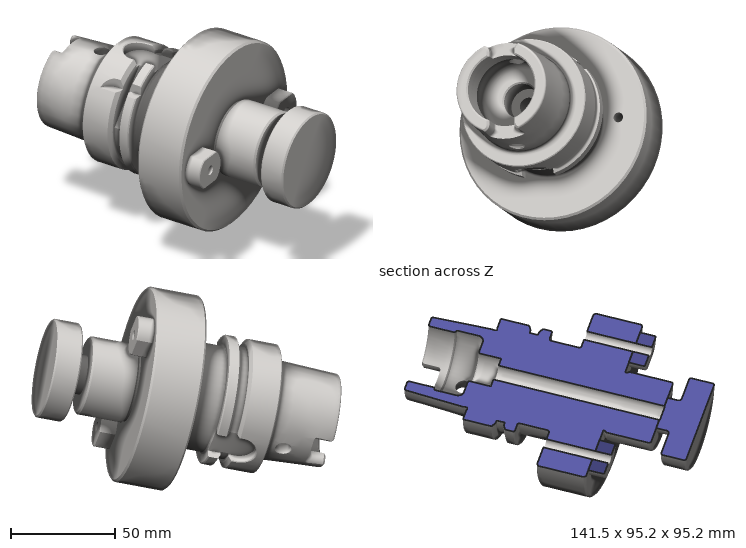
import cadquery as cq
import math


TAPER_GAUGE_X = 25.6
TAPER_GAUGE_R = 24.0
TAPER_SLOPE = 0.05
SHANK_TIP_ROUND = 1.0
UNDERCUT_X = 30.0
UNDERCUT_DEPTH = 0.21
UNDERCUT_RAMP = 0.8
UNDERCUT_CORNER_R = 0.7
FACE_RECESS_R = 25.5

FLANGE_X = 32.0
FLANGE_D = 63.0
FLANGE_END_X = 58.0
FLANGE_FRONT_CHAMFER = 0.4
FLANGE_BACK_CHAMFER = 0.5
GROOVE_D = 54.9
GROOVE_START_X = 47.8
GROOVE_END_X = 51.8
GROOVE_FLANK_LENGTH = 1.4
GROOVE_FLANK_ANGLE = 30.0

NECK_D = 51.8
NECK_FILLET = 1.0
DISC_X = 73.7
DISC_END_X = 98.5
DISC_D = 95.2
DISC_CHAMFER = 1.0
PILOT_D = 38.0
PILOT_RELIEF_D = 36.5
PILOT_RELIEF_LENGTH = 0.8
PILOT_END_X = 122.4
PILOT_CHAMFER = 0.8

BORE_D = 34.0
BORE_MOUTH_CHAMFER = 0.7
BORE_DEPTH = 27.7
BORE_FLOOR_FILLET = 2.8
CLAMP_GROOVE_X = 13.3
CLAMP_GROOVE_D = 36.8
CLAMP_FLANK_ANGLE = 60.0
TUBE_SEAT_D = 17.0
TUBE_SEAT_DEPTH = 11.3
TUBE_SEAT_CHAMFER = 0.7
COOLANT_D = 8.3

CROSS_HOLE_X = 22.8
CROSS_HOLE_D = 7.5
CROSS_HOLE_CHAMFER = 0.4

DRIVE_SLOT_WIDTH = 12.5
DRIVE_SLOT_TOP_DEPTH = 6.0
DRIVE_SLOT_BOTTOM_DEPTH = 9.8
DRIVE_SLOT_FLARE_Z = 18.0
DRIVE_SLOT_FLARE_R = 3.4
DRIVE_SLOT_CORNER_R = 1.3
DRIVE_SLOT_MOUTH_CHAMFER = 1.0

KEYWAY_WIDTH = 16.0
KEYWAY_END_X = 36.7
KEYWAY_FLOOR_Z = 26.5
KEYWAY_RIM_CHAMFER = 0.4
NOTCH_OFFSET = 19.8
NOTCH_CUTTER_R = 7.5
NOTCH_END_X = 37.1
FLAT_ANGLE = 137.5
FLAT_DISTANCE = 21.8

KEY_D = 19.0
KEY_WIDTH = 15.9
KEY_HEIGHT = 7.9
KEY_CHAMFER = 0.4
KEY_OFFSET = 33.5
KEY_HOLE_D = 4.8

SCREW_SHANK_D = 19.1
SCREW_HEAD_X = 128.8
SCREW_HEAD_D = 48.1
SCREW_FILLET = 1.4
SCREW_CHAMFER = 0.7
SCREW_END_X = 141.5


def taper_radius(x):
    return TAPER_GAUGE_R + TAPER_SLOPE * (x - TAPER_GAUGE_X)


def revolve(points):
    """Solid of revolution about X from an (x, radius) outline that is closed along the axis."""
    return cq.Workplane("XY").polyline(points).close().revolve(360, (0, 0, 0), (1, 0, 0))


def rod(diameter, start_x, end_x, y=0, z=0):
    """Cylinder along X."""
    return cq.Workplane("YZ", origin=(start_x, y, z)).circle(diameter / 2).extrude(end_x - start_x)


def shank_and_flange():
    flange_r = FLANGE_D / 2
    groove_r = GROOVE_D / 2
    flank_r = flange_r - GROOVE_FLANK_LENGTH / math.tan(math.radians(GROOVE_FLANK_ANGLE))
    shank = (
        revolve([
            (0, 0),
            (0, taper_radius(0)),
            (UNDERCUT_X, taper_radius(UNDERCUT_X)),
            (UNDERCUT_X, 0),
        ])
        .faces("<X").edges().fillet(SHANK_TIP_ROUND)
    )
    undercut_r = taper_radius(UNDERCUT_X) - UNDERCUT_DEPTH
    recess_x = FLANGE_X + UNDERCUT_DEPTH
    corner_x = recess_x - UNDERCUT_CORNER_R
    corner_r = undercut_r + UNDERCUT_CORNER_R
    bend = UNDERCUT_CORNER_R * math.sqrt(0.5)
    flange = (
        cq.Workplane("XY")
        .moveTo(UNDERCUT_X, 0)
        .lineTo(UNDERCUT_X, taper_radius(UNDERCUT_X))
        .lineTo(UNDERCUT_X + UNDERCUT_RAMP, undercut_r)
        .lineTo(corner_x, undercut_r)
        .threePointArc((corner_x + bend, corner_r - bend), (recess_x, corner_r))
        .lineTo(FLANGE_X, FACE_RECESS_R)
        .lineTo(FLANGE_X, flange_r - FLANGE_FRONT_CHAMFER)
        .lineTo(FLANGE_X + FLANGE_FRONT_CHAMFER, flange_r)
        .lineTo(GROOVE_START_X - GROOVE_FLANK_LENGTH, flange_r)
        .lineTo(GROOVE_START_X, flank_r)
        .lineTo(GROOVE_START_X, groove_r)
        .lineTo(GROOVE_END_X, groove_r)
        .lineTo(GROOVE_END_X, flank_r)
        .lineTo(GROOVE_END_X + GROOVE_FLANK_LENGTH, flange_r)
        .lineTo(FLANGE_END_X - FLANGE_BACK_CHAMFER, flange_r)
        .lineTo(FLANGE_END_X, flange_r - FLANGE_BACK_CHAMFER)
        .lineTo(FLANGE_END_X, 0)
        .close()
        .revolve(360, (0, 0, 0), (1, 0, 0))
    )
    return shank.union(flange)


def neck():
    """Neck between flange and disc, flaring out with a fillet at both ends."""
    neck_r = NECK_D / 2
    flare_r = neck_r + NECK_FILLET
    bend = NECK_FILLET * math.sqrt(0.5)
    left_center_x = FLANGE_END_X + NECK_FILLET
    right_center_x = DISC_X - NECK_FILLET
    return (
        cq.Workplane("XY")
        .moveTo(FLANGE_END_X, 0)
        .lineTo(FLANGE_END_X, flare_r)
        .threePointArc((left_center_x - bend, flare_r - bend), (left_center_x, neck_r))
        .lineTo(right_center_x, neck_r)
        .threePointArc((right_center_x + bend, flare_r - bend), (DISC_X, flare_r))
        .lineTo(DISC_X, 0)
        .close()
        .revolve(360, (0, 0, 0), (1, 0, 0))
    )


def disc_and_pilot():
    disc = rod(DISC_D, DISC_X, DISC_END_X).edges().chamfer(DISC_CHAMFER)
    pilot_r = PILOT_D / 2
    relief_r = PILOT_RELIEF_D / 2
    relief_end_x = DISC_END_X + PILOT_RELIEF_LENGTH
    pilot = revolve([
        (DISC_END_X, 0),
        (DISC_END_X, relief_r),
        (relief_end_x, relief_r),
        (relief_end_x + pilot_r - relief_r, pilot_r),
        (PILOT_END_X - PILOT_CHAMFER, pilot_r),
        (PILOT_END_X, pilot_r - PILOT_CHAMFER),
        (PILOT_END_X, 0),
    ])
    return disc.union(pilot)


def bore():
    """Stepped bore, from its chamfered mouth to the coolant hole through the pilot."""
    mouth_r = BORE_D / 2 + BORE_MOUTH_CHAMFER
    wide_r = CLAMP_GROOVE_D / 2
    flank = (wide_r - BORE_D / 2) / math.tan(math.radians(CLAMP_FLANK_ANGLE))
    main = rod(BORE_D, 0, CLAMP_GROOVE_X)
    clamp_groove = (
        revolve([
            (CLAMP_GROOVE_X, 0),
            (CLAMP_GROOVE_X, BORE_D / 2),
            (CLAMP_GROOVE_X + flank, wide_r),
            (BORE_DEPTH, wide_r),
            (BORE_DEPTH, 0),
        ])
        .faces(">X").edges().fillet(BORE_FLOOR_FILLET)
    )
    mouth = revolve([(0, 0), (0, mouth_r), (mouth_r, 0)])
    seat_mouth_r = TUBE_SEAT_D / 2 + TUBE_SEAT_CHAMFER
    seat = rod(TUBE_SEAT_D, BORE_DEPTH, BORE_DEPTH + TUBE_SEAT_DEPTH)
    seat_mouth = revolve([(BORE_DEPTH, 0), (BORE_DEPTH, seat_mouth_r), (BORE_DEPTH + seat_mouth_r, 0)])
    coolant = rod(COOLANT_D, BORE_DEPTH, PILOT_END_X)
    return main.union(clamp_groove).union(mouth).union(seat).union(seat_mouth).union(coolant)


def cross_hole():
    """Hole along Z through both shank walls."""
    depth = 2 * TAPER_GAUGE_R
    plane = cq.Workplane("XY", origin=(CROSS_HOLE_X, 0, -TAPER_GAUGE_R))
    return plane.circle(CROSS_HOLE_D / 2).extrude(depth)


def cross_hole_chamfers():
    """Cones that widen both outer ends of the cross hole."""
    mouth_r = CROSS_HOLE_D / 2 + CROSS_HOLE_CHAMFER
    half_height = taper_radius(CROSS_HOLE_X)
    outline = [(0, half_height - mouth_r), (mouth_r, half_height), (mouth_r, half_height + 1.4), (0, half_height + 1.4)]
    upper = (
        cq.Workplane("XZ", origin=(CROSS_HOLE_X, 0, 0))
        .polyline(outline)
        .close()
        .revolve(360, (0, 0, 0), (0, 1, 0))
    )
    return upper, upper.rotate((0, 0, 0), (1, 0, 0), 180)


def drive_slot_outline(x):
    """Cross-section at x of the slot in the +Z wall of the shank end; its sides flare outwards."""
    half = DRIVE_SLOT_WIDTH / 2
    flared = half + DRIVE_SLOT_FLARE_R
    flare_top = DRIVE_SLOT_FLARE_Z + DRIVE_SLOT_FLARE_R
    bend = DRIVE_SLOT_FLARE_R * math.sqrt(0.5)
    clear_z = TAPER_GAUGE_R + 1.4
    return (
        cq.Workplane("YZ", origin=(x, 0, 0))
        .moveTo(-half, 0)
        .lineTo(half, 0)
        .lineTo(half, DRIVE_SLOT_FLARE_Z)
        .threePointArc((flared - bend, DRIVE_SLOT_FLARE_Z + bend), (flared, flare_top))
        .lineTo(flared, clear_z)
        .lineTo(-flared, clear_z)
        .lineTo(-flared, flare_top)
        .threePointArc((bend - flared, DRIVE_SLOT_FLARE_Z + bend), (-half, DRIVE_SLOT_FLARE_Z))
        .close()
    )


def drive_slot(depth):
    """Cutter for one drive slot, with rounded floor corners and a chamfered mouth."""
    slot = drive_slot_outline(0).extrude(depth).faces(">X").edges("not |Y").fillet(DRIVE_SLOT_CORNER_R)
    mouth = drive_slot_outline(DRIVE_SLOT_MOUTH_CHAMFER).extrude(-DRIVE_SLOT_MOUTH_CHAMFER, taper=-45)
    return slot.union(mouth)


def keyway():
    """Cutter for the round-ended keyway on the +Z side of the flange."""
    radius = KEYWAY_WIDTH / 2
    center_x = KEYWAY_END_X + radius
    height = FLANGE_D / 2
    plane = cq.Workplane("XY", origin=(0, 0, KEYWAY_FLOOR_Z))
    end = plane.center(center_x, 0).circle(radius).extrude(height)
    length = FLANGE_END_X - center_x
    return end.union(plane.center(center_x + length / 2, 0).rect(length, KEYWAY_WIDTH).extrude(height))


def chamfer_keyway_ends(holder):
    """Chamfer the rim of both keyways on the flange, from the round end up to the groove flank."""
    start_x = KEYWAY_END_X - 1.4
    length = GROOVE_START_X - GROOVE_FLANK_LENGTH + 0.1 - start_x
    rim_bottom_z = KEYWAY_FLOOR_Z + 1.4
    half_width = KEYWAY_WIDTH / 2 + 0.1
    for low_z, high_z in ((rim_bottom_z, FLANGE_D), (-FLANGE_D, -rim_bottom_z)):
        rim = cq.selectors.BoxSelector(
            (start_x, -half_width, low_z),
            (start_x + length, half_width, high_z),
            boundingbox=True,
        )
        holder = holder.edges(rim).chamfer(KEYWAY_RIM_CHAMFER)
    return holder


def notch():
    """Cutter for the corner notch between -Y and +Z; a round cutter ends it at the shank side."""
    center_x = NOTCH_END_X + NOTCH_CUTTER_R
    center_y = -NOTCH_OFFSET - NOTCH_CUTTER_R
    length = FLANGE_END_X - center_x
    height = FLANGE_D / 2
    plane = cq.Workplane("XY", origin=(0, 0, NOTCH_OFFSET))
    end = plane.center(center_x, center_y).circle(NOTCH_CUTTER_R).extrude(height)
    run = plane.center(center_x + length / 2, center_y).rect(length, 2 * NOTCH_CUTTER_R).extrude(height)
    return end.union(run)


def groove_flat():
    """Cutter for the flat on the groove bottom."""
    width = GROOVE_END_X - GROOVE_START_X
    return (
        cq.Workplane("XY")
        .box(width, FLANGE_D, FLANGE_D)
        .translate(((GROOVE_START_X + GROOVE_END_X) / 2, FLAT_DISTANCE + FLANGE_D / 2, 0))
        .rotate((0, 0, 0), (1, 0, 0), FLAT_ANGLE)
    )


def make_holder():
    holder = shank_and_flange().union(neck()).union(disc_and_pilot())
    holder = holder.cut(keyway()).cut(keyway().rotate((0, 0, 0), (1, 0, 0), 180))
    holder = chamfer_keyway_ends(holder)
    holder = holder.cut(notch()).cut(groove_flat())
    holder = holder.cut(bore()).cut(cross_hole())
    for chamfer in cross_hole_chamfers():
        holder = holder.cut(chamfer)
    holder = holder.cut(drive_slot(DRIVE_SLOT_TOP_DEPTH))
    holder = holder.cut(drive_slot(DRIVE_SLOT_BOTTOM_DEPTH).rotate((0, 0, 0), (1, 0, 0), 180))
    for side in (1, -1):
        holder = holder.cut(rod(KEY_HOLE_D, DISC_X, DISC_END_X, side * KEY_OFFSET))
    return holder


def make_key(y):
    """Round drive key with two flats, seated on the disc face and drilled through."""
    body = rod(KEY_D, DISC_END_X, DISC_END_X + KEY_HEIGHT, y)
    flats = (
        cq.Workplane("YZ", origin=(DISC_END_X, y, 0))
        .rect(KEY_D, KEY_WIDTH)
        .extrude(KEY_HEIGHT)
    )
    key = body.intersect(flats).faces(">X").edges().chamfer(KEY_CHAMFER)
    return key.cut(rod(KEY_HOLE_D, DISC_END_X, DISC_END_X + KEY_HEIGHT, y))


def make_screw():
    """Clamping screw: a shank on the pilot face and a wide flat head."""
    head = rod(SCREW_HEAD_D, SCREW_HEAD_X, SCREW_END_X).edges().chamfer(SCREW_CHAMFER)
    shank_r = SCREW_SHANK_D / 2
    flare_r = shank_r + SCREW_FILLET
    bend = SCREW_FILLET * math.sqrt(0.5)
    fillet_x = SCREW_HEAD_X - SCREW_FILLET
    shank = (
        cq.Workplane("XY")
        .moveTo(PILOT_END_X, 0)
        .lineTo(PILOT_END_X, shank_r)
        .lineTo(fillet_x, shank_r)
        .threePointArc((fillet_x + bend, flare_r - bend), (SCREW_HEAD_X, flare_r))
        .lineTo(SCREW_HEAD_X, 0)
        .close()
        .revolve(360, (0, 0, 0), (1, 0, 0))
    )
    return head.union(shank)


holder = make_holder()
keys = [make_key(side * KEY_OFFSET) for side in (1, -1)]
screw = make_screw()

result = cq.Compound.makeCompound([holder.val(), *[key.val() for key in keys], screw.val()])